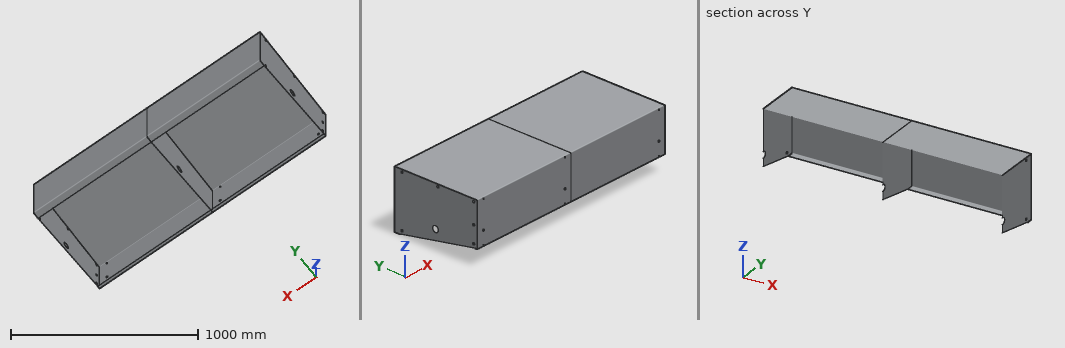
import cadquery as cq

length = 1500
depth = 600
back_height = 400.0
front_height = 300

sheet = 3.0
inner_bend_radius = 3.0
outer_bend_radius = inner_bend_radius + sheet
front_lip = 20.0
back_lip = 40.0

plate_thickness = 2.0
plate_gap = 1.0

fixing_hole_diameter = 12.0
screw_hole_diameter = 8.0
hole_end_distance = 50.0
screw_hole_edge_distance = 10.0
fixing_hole_z = back_height / 2

cable_hole_diameter = 40.0
cable_hole_y = 303.0
cable_hole_z = 122.0
plate_hole_diameter = 14.0
plate_hole_front_y = 28.0
plate_hole_y_pitch = 258.0
plate_hole_top_distance = 20.0
plate_hole_middle_z = 242.0
plate_hole_front_low_z = 128.0
plate_hole_back_low_z = 28.0

front_bottom_z = back_height - front_height
middle_x = length / 2
back_lip_end_y = depth - back_lip
plate_hole_top_z = back_height - plate_hole_top_distance
plate_inset = sheet + plate_gap
hole_cut_depth = 2 * sheet


def hood_section(inset, bend_radius, start_x, width):
    """Solid slice of the hood, its four folded corners rounded, inset from the outer faces."""
    near_y = inset
    far_y = depth - inset
    top_z = back_height - inset
    outline = [
        (near_y, front_bottom_z + inset),
        (near_y, top_z),
        (far_y, top_z),
        (far_y, inset),
        (back_lip_end_y, inset),
        (front_lip, front_bottom_z + inset),
    ]
    section = cq.Workplane("YZ", origin=(start_x, 0, 0)).polyline(outline).close().extrude(width)
    return section.edges("|X and (<Y or >Y)").fillet(bend_radius)


def front_holes(x_places, z_places, diameter):
    """Cutters through the front wall of the shell."""
    centres = [(x, z) for x in x_places for z in z_places]
    return cq.Workplane("XZ").pushPoints(centres).circle(diameter / 2).extrude(-hole_cut_depth)


def make_shell():
    """One folded sheet: front lip, front wall, top, back wall and back lip, open underneath."""
    shell = hood_section(0, outer_bend_radius, 0, length)
    shell = shell.cut(hood_section(sheet, inner_bend_radius, 0, length))
    opening = [
        (front_lip, 0),
        (front_lip, front_bottom_z + sheet),
        (back_lip_end_y, sheet),
        (back_lip_end_y, 0),
    ]
    shell = shell.cut(cq.Workplane("YZ").polyline(opening).close().extrude(length))

    hole_x = [hole_end_distance, middle_x - hole_end_distance, length - hole_end_distance]
    screw_z = [front_bottom_z + screw_hole_edge_distance, back_height - screw_hole_edge_distance]
    shell = shell.cut(front_holes(hole_x, [fixing_hole_z], fixing_hole_diameter))
    return shell.cut(front_holes(hole_x, screw_z, screw_hole_diameter))


def plate_holes(start_x, centres, diameter):
    """Cutters through a plate that starts at start_x."""
    plane = cq.Workplane("YZ", origin=(start_x, 0, 0))
    return plane.pushPoints(centres).circle(diameter / 2).extrude(plate_thickness)


def make_divider(start_x):
    """Plate that closes off the inside of the shell with a small gap all round, and one cable hole."""
    plate = hood_section(plate_inset, inner_bend_radius, start_x, plate_thickness)
    return plate.cut(plate_holes(start_x, [(cable_hole_y, cable_hole_z)], cable_hole_diameter))


def make_end_plate(start_x):
    """Plate like the divider, with extra fixing holes along its front, top and back."""
    middle_y = plate_hole_front_y + plate_hole_y_pitch
    back_y = middle_y + plate_hole_y_pitch
    centres = [
        (plate_hole_front_y, plate_hole_front_low_z),
        (plate_hole_front_y, plate_hole_middle_z),
        (plate_hole_front_y, plate_hole_top_z),
        (middle_y, plate_hole_top_z),
        (back_y, plate_hole_top_z),
        (back_y, plate_hole_back_low_z),
    ]
    return make_divider(start_x).cut(plate_holes(start_x, centres, plate_hole_diameter))


shell = make_shell()
divider = make_divider(middle_x - plate_thickness / 2)
end_plates = [make_end_plate(x) for x in (0, length - plate_thickness)]

result = cq.Compound.makeCompound(
    [shell.val(), divider.val(), *[plate.val() for plate in end_plates]]
)